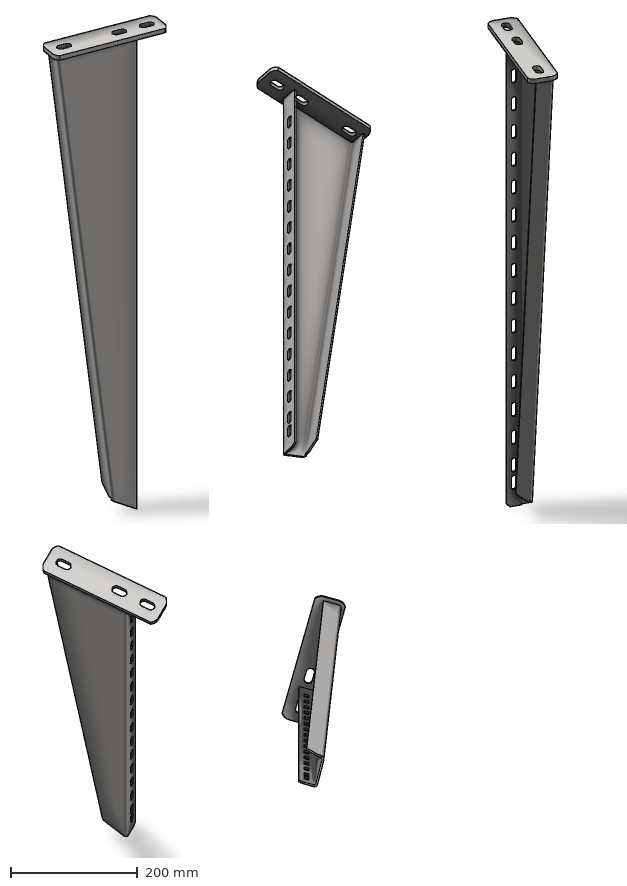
import cadquery as cq
import math

plate_width = 50.0
plate_length = 205.0
plate_thickness = 8.0
corner_width = 13.0
corner_depth = 7.0
plate_slot_length = 25.0
plate_slot_width = 13.0
plate_slot_edge = 26.3
plate_slot_offsets = (0.0, 50.0, 150.0)

arm_height = 840.0
sheet = 3.0
bend_radius = 5.0
flange_width = 30.0
web_outer_x = 19.0
back_y = 49.5
top_depth = 146.0
foot_depth = 46.0
foot_cut_angle = math.radians(30)
back_corner = 6.0
front_flange_foot_z = 30.0
front_corner_width = 19.0
front_corner_height = 17.0

arm_slot_x = 1.5
arm_slot_length = 25.0
arm_slot_width = 8.0
arm_slot_count = 15
arm_slot_pitch = 50.0
first_slot_z = 74.0
foot_slot_z = 42.5

free_edge_x = web_outer_x - flange_width
bend_start_x = web_outer_x - bend_radius
web_front_foot_z = foot_depth * math.tan(foot_cut_angle)
front_slope = (top_depth - foot_depth) / (arm_height - web_front_foot_z)
front_angle = math.atan(front_slope)


def make_plate():
    """Flat plate with four arc corners that meet its long sides at an angle, and three slots."""
    half_width = plate_width / 2
    half_length = plate_length / 2
    corner_x = half_width - corner_width
    corner_y = half_length - corner_depth
    corner_radius = (corner_width**2 + corner_depth**2) / (2 * corner_depth)
    underside = cq.Workplane("XY").workplane(offset=arm_height)
    blank = (
        underside.moveTo(-corner_x, -half_length)
        .lineTo(corner_x, -half_length)
        .radiusArc((half_width, -corner_y), -corner_radius)
        .lineTo(half_width, corner_y)
        .radiusArc((corner_x, half_length), -corner_radius)
        .lineTo(-corner_x, half_length)
        .radiusArc((-half_width, corner_y), -corner_radius)
        .lineTo(-half_width, -corner_y)
        .radiusArc((-corner_x, -half_length), -corner_radius)
        .close()
        .extrude(plate_thickness)
    )
    first_slot_y = half_length - plate_slot_edge
    slots = (
        underside.pushPoints([(0, first_slot_y - offset) for offset in plate_slot_offsets])
        .slot2D(plate_slot_length, plate_slot_width, 90)
        .extrude(plate_thickness)
    )
    return blank.cut(slots)


def tapered_block(inset, corner_radius):
    """Tapered prism set in from the arm's outer faces, with its two long edges on the web side rounded."""
    back = back_y - inset
    front_top = back_y - top_depth + inset / math.cos(front_angle)
    front_foot = front_top + front_slope * arm_height
    return (
        cq.Workplane("YZ").workplane(offset=free_edge_x)
        .polyline([(back, 0), (back, arm_height), (front_top, arm_height), (front_foot, 0)])
        .close()
        .extrude(flange_width - inset)
        .faces(">X").edges("not |Y")
        .fillet(corner_radius)
    )


def foot_cut():
    """Wedge below the web's sloping foot, which rises from the back face towards the front flange."""
    rise = top_depth * math.tan(foot_cut_angle)
    return (
        cq.Workplane("YZ").workplane(offset=bend_start_x)
        .polyline([(back_y, 0), (back_y - top_depth, rise), (back_y - top_depth, 0)])
        .close()
        .extrude(bend_radius)
    )


def front_foot_cut():
    """Prism below the front flange's foot: level beside the bend, then rising to the free edge."""
    return (
        cq.Workplane("XZ").workplane(offset=-(back_y - bend_radius))
        .polyline([
            (free_edge_x, 0),
            (free_edge_x, front_flange_foot_z + front_corner_height),
            (free_edge_x + front_corner_width, front_flange_foot_z),
            (bend_start_x, front_flange_foot_z),
            (bend_start_x, 0),
        ])
        .close()
        .extrude(top_depth)
    )


def back_flange_cuts():
    """Slots through the back flange and the clipped corner at its foot."""
    back_face = cq.Workplane("XZ").workplane(offset=-back_y)
    slot_zs = [foot_slot_z] + [first_slot_z + i * arm_slot_pitch for i in range(arm_slot_count)]
    slots = (
        back_face.pushPoints([(arm_slot_x, z) for z in slot_zs])
        .slot2D(arm_slot_length, arm_slot_width, 90)
        .extrude(sheet)
    )
    corner = (
        back_face.moveTo(free_edge_x, 0)
        .lineTo(free_edge_x + back_corner, 0)
        .lineTo(free_edge_x, back_corner)
        .close()
        .extrude(sheet)
    )
    return slots.add(corner)


def make_arm():
    """Sheet channel open towards -X, with a vertical back flange and a sloping front flange."""
    arm = tapered_block(0, bend_radius).cut(tapered_block(sheet, bend_radius - sheet))
    arm = arm.cut(foot_cut()).cut(front_foot_cut())
    for cutter in back_flange_cuts().vals():
        arm = arm.cut(cq.Workplane(cutter))
    return arm


plate = make_plate()
arm = make_arm()
result = cq.Compound.makeCompound([plate.val(), arm.val()])